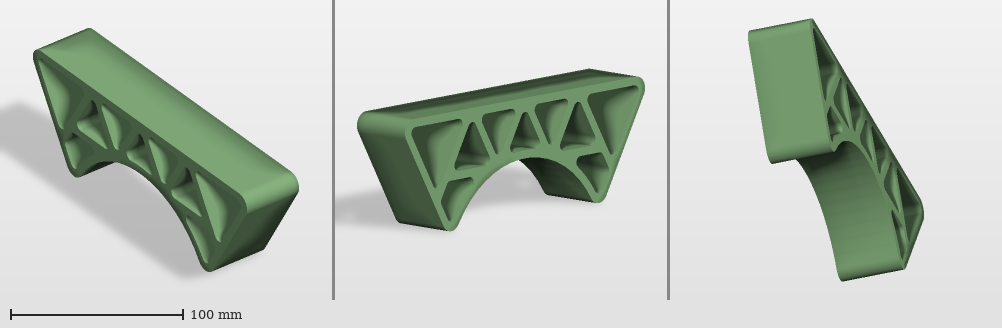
import cadquery as cq
import math

length = 204.7
depth = 38.0
wall = 5.0
outer_radius = 7.5
window_radius = 3.5
saddle_radius = 66.7
saddle_crown_z = -35.6
window_pitch = 22.5
blank_bottom_z = -92.1

slope_angle = math.radians(60)
slope = math.tan(slope_angle)
wall_run = wall / math.sin(slope_angle)
window_top_z = -wall
saddle_center_z = saddle_crown_z - saddle_radius

corner_x = length / 2 - outer_radius + outer_radius / math.tan(slope_angle / 2)


def prism(points):
    """Extrude an XZ outline through the depth, centred on Y = 0."""
    return cq.Workplane("XZ").polyline(points).close().extrude(depth / 2, both=True)


def saddle(radius):
    """Cylinder along Y about the saddle axis."""
    return cq.Workplane("XZ").center(0, saddle_center_z).circle(radius).extrude(depth / 2, both=True)


def rounded(window):
    return window.edges("|Y").fillet(window_radius)


def upright_triangle(apex_x, base_z):
    half_base = (window_top_z - base_z) / slope
    return prism([
        (apex_x, window_top_z),
        (apex_x + half_base, base_z),
        (apex_x - half_base, base_z),
    ])


def hanging_triangle(left_x, right_x):
    tip_z = window_top_z - (right_x - left_x) / 2 * slope
    return prism([
        (left_x, window_top_z),
        (right_x, window_top_z),
        ((left_x + right_x) / 2, tip_z),
    ])


def outer_body():
    blank_run = -blank_bottom_z / slope
    blank = prism([
        (-corner_x, 0),
        (corner_x, 0),
        (corner_x - blank_run, blank_bottom_z),
        (blank_run - corner_x, blank_bottom_z),
    ])
    return blank.cut(saddle(saddle_radius)).edges("|Y").fillet(outer_radius)


def foot_window(apex_x, inner_side_x):
    """Window in the right foot, bounded below by an arc concentric with the saddle."""
    top_z = saddle_crown_z - wall
    web_x = apex_x + (window_top_z - top_z) / slope
    side_x = (apex_x + inner_side_x) / 2
    side_z = window_top_z - (inner_side_x - apex_x) / 2 * slope
    bottom_x = inner_side_x - (window_top_z - blank_bottom_z) / slope
    outline = prism([
        (0, top_z),
        (web_x, top_z),
        (side_x, side_z),
        (bottom_x, blank_bottom_z),
        (0, blank_bottom_z),
    ])
    return outline.cut(saddle(saddle_radius + wall))


outer_apex_x = 2 * window_pitch
inner_side_x = corner_x - wall_run - wall / slope
inner_hanging = hanging_triangle(wall_run, outer_apex_x - wall_run)
outer_upright = upright_triangle(outer_apex_x, saddle_crown_z)
end_hanging = hanging_triangle(outer_apex_x + wall_run, inner_side_x)
foot = foot_window(outer_apex_x, inner_side_x)

middle = upright_triangle(0, saddle_crown_z).cut(saddle(saddle_radius + wall))

result = outer_body().cut(rounded(middle))
for window in (inner_hanging, outer_upright, end_hanging, foot):
    right_window = rounded(window)
    result = result.cut(right_window).cut(right_window.mirror("YZ"))